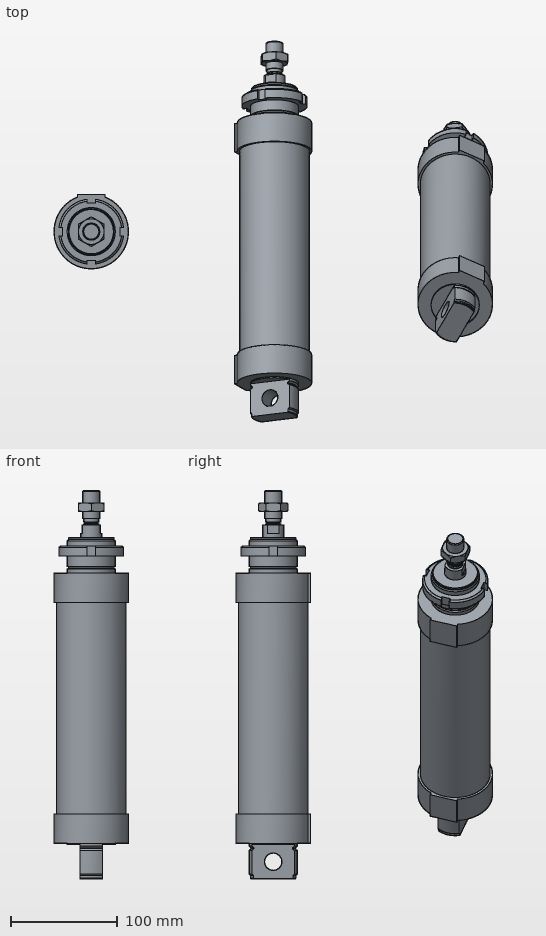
import cadquery as cq
import math

total_height = 364.2
tang_boss_bottom = 32.0
rear_cap_bottom = 33.0
cap_height = 27.5
front_cap_top = 286.5
neck_top = 320.0

cap_diameter = 70.0
tube_diameter = 65.5
pad_width = 26.2
pad_reach = cap_diameter / 2

thread_diameter = 45.0
thread_root_diameter = 43.0
run_out = (thread_diameter - thread_root_diameter) / 2
tip_chamfer = 0.7
neck_tip_height = 2.2
neck_groove_bottom = 290.3
neck_groove_top = 292.8

tang_thickness = 21.0
tang_tip_height = 3.3
tang_groove_bottom = 26.5
tang_groove_top = 30.5
tang_groove_diameter = 42.0
tang_groove_slope = (thread_diameter - tang_groove_diameter) / 2
pivot_diameter = 16.0
pivot_height = 16.0

rod_diameter = 20.0
rod_bottom = front_cap_top
rod_shoulder = 331.8
wrench_flat_bottom = 323.8
wrench_flat_gap = 17.0
stud_diameter = 16.0
stud_end_diameter = 14.2
stud_end_chamfer = (stud_diameter - stud_end_diameter) / 2
stud_bottom = 337.5
relief_diameter = 14.2
relief_bottom = 334.7
collar_height = 0.7
undercut_diameter = 12.5
undercut_slope = (relief_diameter - undercut_diameter) / 2

hex_bottom = 344.0
hex_height = 8.5
hex_flats = 24.0
hex_sides = 6
hex_corners = hex_flats / math.cos(math.pi / hex_sides)
hex_chamfer_angle = math.radians(30)

ring_bottom = 302.5
ring_height = 9.5
ring_diameter = 61.2
ring_chamfer_width = 2.0
ring_chamfer_height = 1.5
slot_count = 4
slot_width = 8.0
slot_floor_radius = 27.0


def disc(diameter, bottom, top):
    """Solid cylinder on the Z axis."""
    return cq.Workplane("XY").workplane(offset=bottom).circle(diameter / 2).extrude(top - bottom)


def turned(profile):
    """Solid turned about Z from (diameter, height) points listed from bottom to top."""
    outline = [(0, profile[0][1])]
    outline += [(diameter / 2, height) for diameter, height in profile]
    outline += [(0, profile[-1][1])]
    return cq.Workplane("XZ").polyline(outline).close().revolve(360, (0, 0), (0, 1))


def make_cap(bottom):
    """Round end cap with a flat port pad on the +Y side."""
    pad = (
        cq.Workplane("XY")
        .workplane(offset=bottom)
        .rect(pad_width, pad_reach, centered=(True, False))
        .extrude(cap_height)
    )
    return disc(cap_diameter, bottom, bottom + cap_height).union(pad)


def make_neck():
    """Threaded neck with a chamfered tip and a run-out groove at its root."""
    return turned([
        (thread_diameter, front_cap_top),
        (thread_diameter, neck_groove_bottom),
        (thread_root_diameter, neck_groove_bottom + run_out),
        (thread_root_diameter, neck_groove_top),
        (thread_diameter, neck_groove_top),
        (thread_diameter, neck_top - neck_tip_height - run_out),
        (thread_root_diameter, neck_top - neck_tip_height),
        (thread_root_diameter, neck_top - tip_chamfer),
        (thread_root_diameter - 2 * tip_chamfer, neck_top),
    ])


def make_tang():
    """Flat-sided tang cut from a turned stub, drilled along X."""
    stub = turned([
        (thread_root_diameter - 2 * tip_chamfer, 0),
        (thread_root_diameter, tip_chamfer),
        (thread_root_diameter, tang_tip_height),
        (thread_diameter, tang_tip_height + run_out),
        (thread_diameter, tang_groove_bottom),
        (tang_groove_diameter, tang_groove_bottom + tang_groove_slope),
        (tang_groove_diameter, tang_groove_top - tang_groove_slope),
        (thread_diameter, tang_groove_top),
        (thread_diameter, tang_boss_bottom),
    ])
    slab = cq.Workplane("XY").box(
        tang_thickness, thread_diameter, tang_boss_bottom, centered=(True, True, False)
    )
    pivot = (
        cq.Workplane("YZ")
        .center(0, pivot_height)
        .circle(pivot_diameter / 2)
        .extrude(tang_thickness, both=True)
    )
    return stub.intersect(slab).cut(pivot)


def make_housing():
    """Cylinder body with caps, tang and neck, and a blind seat for the rod."""
    tube = disc(tube_diameter, rear_cap_bottom, front_cap_top)
    boss = disc(thread_diameter, tang_boss_bottom, rear_cap_bottom)
    rod_bore = disc(rod_diameter, rod_bottom, neck_top)
    return (
        tube.union(make_cap(rear_cap_bottom))
        .union(make_cap(front_cap_top - cap_height))
        .union(boss)
        .union(make_tang())
        .union(make_neck())
        .cut(rod_bore)
    )


def make_rod():
    """Piston rod with two wrench flats, an undercut and a stud."""
    shank = disc(rod_diameter, rod_bottom, rod_shoulder)
    flat_height = rod_shoulder - wrench_flat_bottom
    flat_depth = (rod_diameter - wrench_flat_gap) / 2
    for side in (-1, 1):
        flat = cq.Workplane("XY").box(flat_depth, rod_diameter, flat_height).translate((
            side * (wrench_flat_gap + flat_depth) / 2, 0, (rod_shoulder + wrench_flat_bottom) / 2
        ))
        shank = shank.cut(flat)
    stud = turned([
        (relief_diameter, rod_shoulder),
        (relief_diameter, rod_shoulder + collar_height),
        (undercut_diameter, rod_shoulder + collar_height + undercut_slope),
        (undercut_diameter, relief_bottom),
        (relief_diameter, relief_bottom),
        (relief_diameter, stud_bottom),
        (stud_diameter, stud_bottom),
        (stud_diameter, total_height - stud_end_chamfer),
        (stud_end_diameter, total_height),
    ])
    return shank.union(stud)


def make_hex_nut():
    """Hexagon nut with corners on the Y axis and both faces chamfered."""
    hex_top = hex_bottom + hex_height
    chamfer_height = (hex_corners - hex_flats) / 2 * math.tan(hex_chamfer_angle)
    prism = (
        cq.Workplane("XY")
        .workplane(offset=hex_bottom)
        .transformed(rotate=(0, 0, 90))
        .polygon(hex_sides, hex_corners)
        .extrude(hex_height)
    )
    envelope = turned([
        (hex_flats, hex_bottom),
        (hex_corners, hex_bottom + chamfer_height),
        (hex_corners, hex_top - chamfer_height),
        (hex_flats, hex_top),
    ])
    return prism.intersect(envelope).cut(disc(stud_diameter, hex_bottom, hex_top))


def make_slotted_nut():
    """Round nut with a chamfered top rim and equally spaced spanner slots."""
    ring_top = ring_bottom + ring_height
    nut = turned([
        (ring_diameter, ring_bottom),
        (ring_diameter, ring_top - ring_chamfer_height),
        (ring_diameter - 2 * ring_chamfer_width, ring_top),
    ])
    nut = nut.cut(disc(thread_diameter, ring_bottom, ring_top))
    slot = (
        cq.Workplane("XY")
        .workplane(offset=ring_bottom)
        .center(slot_floor_radius, 0)
        .rect(ring_diameter / 2, slot_width, centered=(False, True))
        .extrude(ring_height)
    )
    for index in range(slot_count):
        nut = nut.cut(slot.rotate((0, 0, 0), (0, 0, 1), index * 360 / slot_count))
    return nut


housing = make_housing()
rod = make_rod()
hex_nut = make_hex_nut()
slotted_nut = make_slotted_nut()

result = cq.Compound.makeCompound([housing.val(), rod.val(), hex_nut.val(), slotted_nut.val()])